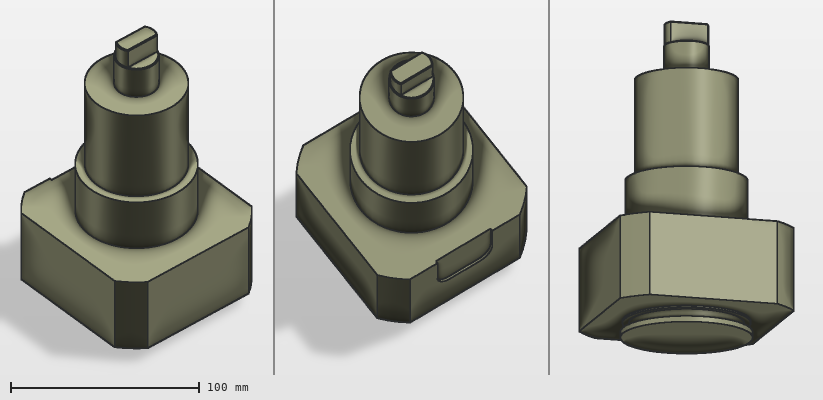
import cadquery as cq

body_length = 100.0
body_width = 96.0
body_corner_diameter = 122.3
body_bottom = 9.0
body_top = 54.1

collar_diameter = 65.0
collar_top = 85.4
barrel_diameter = 55.0
barrel_top = 140.4
shaft_diameter = 23.9
shaft_top = 159.4

tang_thickness = 10.0
tang_top = 170.8
tang_length = 23.5
tang_flat_length = 20.3

edge_chamfer = 0.5

flange_diameter = 70.0
flange_top = 3.0
neck_diameter = 61.0
neck_top = 8.0
lip_diameter = 68.0

recess_width = 35.0
recess_height = 23.9
recess_depth = 1.5
recess_corner_radius = 8.0


def cylinder(diameter, bottom, top):
    return cq.Workplane("XY").workplane(offset=bottom).circle(diameter / 2).extrude(top - bottom)


def make_body():
    height = body_top - body_bottom
    block = cq.Workplane("XY").workplane(offset=body_bottom).rect(body_length, body_width).extrude(height)
    return block.intersect(cylinder(body_corner_diameter, body_bottom, body_top))


def make_recess():
    cutter = cq.Workplane("XY").box(recess_depth, recess_width, recess_height)
    cutter = cutter.edges("|X and <Z").fillet(recess_corner_radius)
    center_x = (recess_depth - body_length) / 2
    center_z = body_top - recess_height / 2
    return cutter.translate((center_x, 0, center_z))


def make_tang():
    side_x = tang_thickness / 2
    corner_y = tang_flat_length / 2
    crown_y = tang_length / 2
    tang = (
        cq.Workplane("XY")
        .workplane(offset=shaft_top)
        .moveTo(-side_x, -corner_y)
        .threePointArc((0, -crown_y), (side_x, -corner_y))
        .lineTo(side_x, corner_y)
        .threePointArc((0, crown_y), (-side_x, corner_y))
        .close()
        .extrude(tang_top - shaft_top)
    )
    return tang.faces(">Z").chamfer(edge_chamfer)


flange = cylinder(flange_diameter, 0, flange_top)
neck = cylinder(neck_diameter, flange_top, neck_top)
lip = cylinder(lip_diameter, neck_top, body_bottom)
collar = cylinder(collar_diameter, body_top, collar_top)
barrel = cylinder(barrel_diameter, collar_top, barrel_top)
shaft = cylinder(shaft_diameter, barrel_top, shaft_top).faces(">Z").chamfer(edge_chamfer)

result = make_body().cut(make_recess())
for section in (flange, neck, lip, collar, barrel, shaft, make_tang()):
    result = result.union(section)